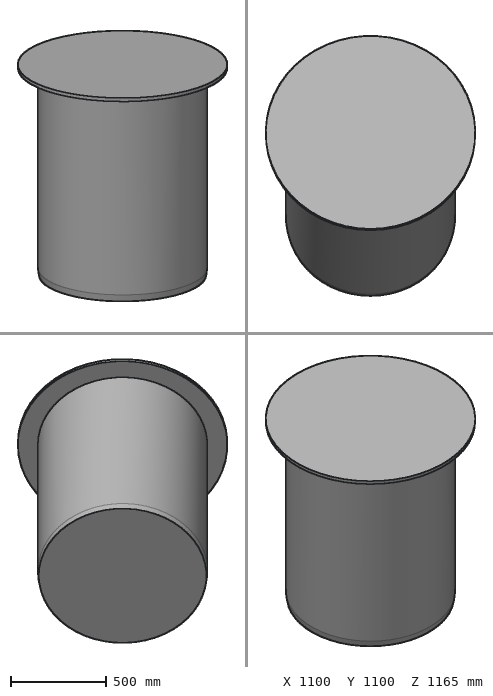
import cadquery as cq

total_height = 1165.0
lid_diameter = 1100.0
lid_thickness = 20.0

barrel_diameter = 890.0
foot_height = 40.0
foot_bottom_diameter = 880.0

barrel_top = total_height - lid_thickness


def make_barrel():
    """Round barrel standing on Z = 0, narrowing over the foot."""
    barrel_radius = barrel_diameter / 2
    foot_bottom_radius = foot_bottom_diameter / 2
    return (
        cq.Workplane("XZ")
        .lineTo(foot_bottom_radius, 0)
        .lineTo(barrel_radius, foot_height)
        .lineTo(barrel_radius, barrel_top)
        .lineTo(0, barrel_top)
        .close()
        .revolve(360, (0, 0), (0, 1))
    )


def make_lid():
    """Flat disc resting on the barrel and overhanging it all round."""
    return cq.Workplane("XY").workplane(offset=barrel_top).circle(lid_diameter / 2).extrude(lid_thickness)


barrel = make_barrel()
lid = make_lid()

result = cq.Compound.makeCompound([barrel.val(), lid.val()])